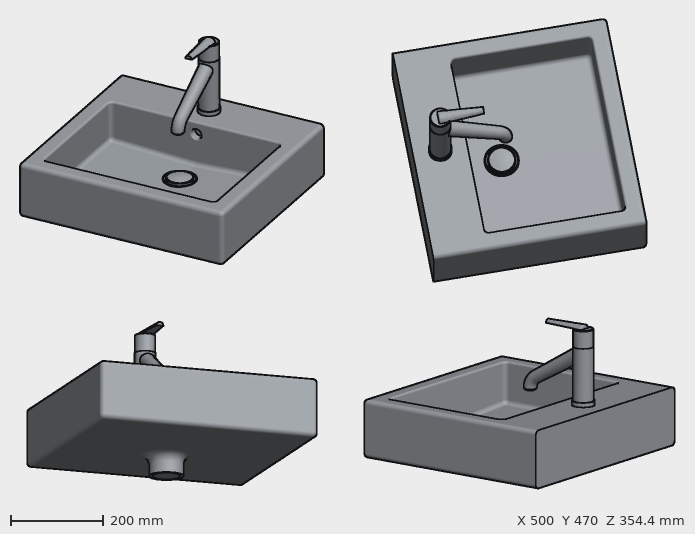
import cadquery as cq
import math


BASIN_WIDTH = 500.0
BASIN_DEPTH = 470.0
BASIN_HEIGHT = 130.0
BASIN_ROUND = 10.0
BACK_LEDGE = 115.0
RIM_WIDTH = 35.0
RIM_ROUND = 5.0
BOWL_ROUND = 10.0
BOWL_SIDE_DEPTH = 95.0
BOWL_CENTRE_DEPTH = 105.0
BOWL_BACK_Y = -BACK_LEDGE - RIM_ROUND
BOWL_FRONT_Y = -BASIN_DEPTH + RIM_WIDTH + RIM_ROUND
BOWL_HALF_WIDTH = BASIN_WIDTH / 2 - RIM_WIDTH - RIM_ROUND

CLEARANCE = 5.0

OVERFLOW_DIAMETER = 25.0
OVERFLOW_ROUND = 2.5
OVERFLOW_LENGTH = 20.0
OVERFLOW_Z = -30.0

DRAIN_Y = -195.0
OUTLET_DIAMETER = 75.0
OUTLET_LENGTH = 45.0
OUTLET_FLARE = 20.0
OUTLET_BOTTOM_Z = -BASIN_HEIGHT - OUTLET_LENGTH

FLANGE_DIAMETER = 75.0
FLANGE_LIP = 2.0
FLANGE_THICKNESS = 7.5
SHANK_DIAMETER = 60.0
FUNNEL_TOP_DIAMETER = 70.0
FUNNEL_DEPTH = 4.0
PLUG_STEM_DIAMETER = 25.0
PLUG_STEM_LENGTH = 25.0
PLUG_DIAMETER = 60.0
PLUG_EDGE_HEIGHT = 6.0
PLUG_CROWN = 4.0
PLUG_CHAMFER = 1.5
FLANGE_TOP_Z = -BOWL_CENTRE_DEPTH + FLANGE_LIP
FUNNEL_BOTTOM_Z = FLANGE_TOP_Z - FUNNEL_DEPTH
PLUG_EDGE_Z = -BOWL_CENTRE_DEPTH + PLUG_EDGE_HEIGHT

TAP_Y = -60.0
BASE_DIAMETER = 50.0
BASE_HEIGHT = 10.0
COLUMN_DIAMETER = 46.0
COLUMN_TOP_Z = 130.0
HEAD_DIAMETER = 45.0
HEAD_TOP_Z = 170.0
HEAD_CHAMFER = 1.5

LEVER_ROOT_Y = -55.0
LEVER_TIP_Y = -155.0
LEVER_TOP_Z = 179.5
LEVER_ROOT_RADIUS = 17.5
LEVER_TIP_RADIUS = 8.0
LEVER_ROOT_ROUND = 4.0

SPOUT_ROOT_Y = -70.0
SPOUT_ROOT_DIAMETER = 35.0
SPOUT_END_DIAMETER = 29.0
SPOUT_SLOPE = 30.0
BEND_START_Y = -187.5
BEND_START_Z = 44.0
BEND_RADIUS = 32.0
NOZZLE_HEIGHT = 4.0
NOZZLE_DIAMETER = 20.0


def cylinder(diameter, y, bottom_z, top_z):
    """An upright cylinder on the middle plane."""
    base = cq.Workplane("XY", origin=(0, y, bottom_z))
    return base.circle(diameter / 2).extrude(top_z - bottom_z)


def make_bowl():
    """The hollow of the bowl, whose floor falls from both sides to a valley in the middle."""
    bowl = (
        cq.Workplane("XZ", origin=(0, BOWL_BACK_Y, 0))
        .moveTo(-BOWL_HALF_WIDTH, 0)
        .lineTo(-BOWL_HALF_WIDTH, -BOWL_SIDE_DEPTH)
        .lineTo(0, -BOWL_CENTRE_DEPTH)
        .lineTo(BOWL_HALF_WIDTH, -BOWL_SIDE_DEPTH)
        .lineTo(BOWL_HALF_WIDTH, 0)
        .close()
        .extrude(BOWL_BACK_Y - BOWL_FRONT_Y)
    )
    bowl = bowl.edges("|Z").fillet(BOWL_ROUND)
    floor_edges = cq.selectors.BoxSelector(
        (-BOWL_HALF_WIDTH - CLEARANCE, BOWL_FRONT_Y - CLEARANCE, -BOWL_CENTRE_DEPTH - CLEARANCE),
        (BOWL_HALF_WIDTH + CLEARANCE, BOWL_BACK_Y + CLEARANCE, -BOWL_SIDE_DEPTH + CLEARANCE),
    )
    valley = cq.selectors.NearestToPointSelector(
        (0, (BOWL_BACK_Y + BOWL_FRONT_Y) / 2, -BOWL_CENTRE_DEPTH)
    )
    return bowl.edges(floor_edges - valley).fillet(BOWL_ROUND)


def make_flare():
    """The concave flare that leads from the underside into the outlet."""
    outlet_radius = OUTLET_DIAMETER / 2
    arc_dip = OUTLET_FLARE * (1 - math.sqrt(0.5))
    return (
        cq.Workplane("XZ", origin=(0, DRAIN_Y, -BASIN_HEIGHT))
        .moveTo(0, 0)
        .lineTo(outlet_radius + OUTLET_FLARE, 0)
        .threePointArc((outlet_radius + arc_dip, -arc_dip), (outlet_radius, -OUTLET_FLARE))
        .lineTo(0, -OUTLET_FLARE)
        .close()
        .revolve(360, (0, 0), (0, 1))
    )


def make_overflow():
    """The round overflow hole running back from the bowl."""
    return (
        cq.Workplane("XZ", origin=(0, BOWL_BACK_Y, OVERFLOW_Z))
        .circle(OVERFLOW_DIAMETER / 2)
        .extrude(-OVERFLOW_LENGTH)
    )


def make_drain_envelope():
    """The outside of the drain insert: a flange sunk into the floor and a shank down the outlet."""
    flange = cylinder(FLANGE_DIAMETER, DRAIN_Y, FLANGE_TOP_Z - FLANGE_THICKNESS, FLANGE_TOP_Z)
    return flange.union(cylinder(SHANK_DIAMETER, DRAIN_Y, OUTLET_BOTTOM_Z, FLANGE_TOP_Z))


def make_basin():
    """The block with its rounded edges, bowl, overflow hole, outlet and drain bore."""
    block = cq.Workplane("XY").box(
        BASIN_WIDTH, BASIN_DEPTH, BASIN_HEIGHT, centered=(True, False, False)
    )
    block = block.translate((0, -BASIN_DEPTH, -BASIN_HEIGHT))
    block = block.edges("not >Y").fillet(BASIN_ROUND)

    outlet = cylinder(OUTLET_DIAMETER, DRAIN_Y, OUTLET_BOTTOM_Z, -BASIN_HEIGHT)
    basin = block.union(outlet.union(make_flare())).cut(make_bowl())

    bowl_rim = cq.selectors.BoxSelector(
        (-BOWL_HALF_WIDTH - CLEARANCE, BOWL_FRONT_Y - CLEARANCE, -CLEARANCE),
        (BOWL_HALF_WIDTH + CLEARANCE, BOWL_BACK_Y + CLEARANCE, CLEARANCE),
    )
    basin = basin.edges(bowl_rim).fillet(RIM_ROUND)
    basin = basin.cut(make_overflow())
    overflow_mouth = cq.selectors.NearestToPointSelector((0, BOWL_BACK_Y, OVERFLOW_Z))
    basin = basin.edges("%CIRCLE").edges(overflow_mouth).fillet(OVERFLOW_ROUND)
    return basin.cut(make_drain_envelope())


def make_drain():
    """The drain insert with a funnel in its flange and a socket for the plug's stem."""
    funnel = (
        cq.Workplane("XY", origin=(0, DRAIN_Y, FLANGE_TOP_Z))
        .circle(FUNNEL_TOP_DIAMETER / 2)
        .workplane(offset=-FUNNEL_DEPTH)
        .circle(PLUG_DIAMETER / 2)
        .loft()
    )
    return make_drain_envelope().cut(funnel).cut(make_plug())


def make_plug():
    """The domed plug and the stem that guides it in the drain."""
    radius = PLUG_DIAMETER / 2
    stem_radius = PLUG_STEM_DIAMETER / 2
    dome_edge = radius - PLUG_CHAMFER
    dome_top_z = PLUG_EDGE_Z + PLUG_CROWN
    sphere_radius = (dome_edge**2 + PLUG_CROWN**2) / (2 * PLUG_CROWN)
    midway = dome_edge / 2
    midway_z = dome_top_z - sphere_radius + math.sqrt(sphere_radius**2 - midway**2)
    return (
        cq.Workplane("XZ", origin=(0, DRAIN_Y, 0))
        .moveTo(0, dome_top_z)
        .threePointArc((midway, midway_z), (dome_edge, PLUG_EDGE_Z))
        .lineTo(radius, PLUG_EDGE_Z - PLUG_CHAMFER)
        .lineTo(radius, FUNNEL_BOTTOM_Z)
        .lineTo(stem_radius, FUNNEL_BOTTOM_Z)
        .lineTo(stem_radius, FUNNEL_BOTTOM_Z - PLUG_STEM_LENGTH)
        .lineTo(0, FUNNEL_BOTTOM_Z - PLUG_STEM_LENGTH)
        .close()
        .revolve(360, (0, 0), (0, 1))
    )


def make_lever():
    """The lever: a cone that tapers and rises to its tip, cut flat level with the top of the head."""
    root_centre_z = LEVER_TOP_Z - LEVER_ROOT_RADIUS
    cone = (
        cq.Workplane("XZ", origin=(0, LEVER_ROOT_Y, root_centre_z))
        .circle(LEVER_ROOT_RADIUS)
        .workplane(offset=LEVER_ROOT_Y - LEVER_TIP_Y)
        .center(0, HEAD_TOP_Z - root_centre_z)
        .circle(LEVER_TIP_RADIUS)
        .loft()
    )
    cone = cone.faces(">Y").edges().fillet(LEVER_ROOT_ROUND)
    head_top = cq.Workplane("XY", origin=(0, 0, HEAD_TOP_Z))
    return cone.copyWorkplane(head_top).split(keepTop=True)


def make_handle():
    """The turning head of the tap with its lever."""
    head = cylinder(HEAD_DIAMETER, TAP_Y, COLUMN_TOP_Z, HEAD_TOP_Z)
    head = head.faces(">Z").edges().chamfer(HEAD_CHAMFER)
    return head.union(make_lever())


def make_spout(column):
    """The spout, its end shaped to sit against the column."""
    slope = math.radians(SPOUT_SLOPE)
    end_radius = SPOUT_END_DIAMETER / 2
    pipe_length = (SPOUT_ROOT_Y - BEND_START_Y) / math.cos(slope)
    pipe_plane = cq.Plane(
        origin=(0, BEND_START_Y, BEND_START_Z),
        xDir=(1, 0, 0),
        normal=(0, math.cos(slope), math.sin(slope)),
    )
    pipe = (
        cq.Workplane(pipe_plane)
        .circle(end_radius)
        .workplane(offset=pipe_length)
        .circle(SPOUT_ROOT_DIAMETER / 2)
        .loft()
    )
    bend = (
        cq.Workplane(pipe_plane)
        .circle(end_radius)
        .revolve(90 - SPOUT_SLOPE, (0, BEND_RADIUS), (1, BEND_RADIUS))
    )
    bend_end_y = BEND_START_Y - BEND_RADIUS * (1 - math.sin(slope))
    bend_end_z = BEND_START_Z - BEND_RADIUS * math.cos(slope)
    nozzle = (
        cq.Workplane("XY", origin=(0, bend_end_y, bend_end_z))
        .circle(end_radius)
        .workplane(offset=-NOZZLE_HEIGHT)
        .circle(NOZZLE_DIAMETER / 2)
        .loft()
    )
    return pipe.union(bend).union(nozzle).cut(column)


basin = make_basin()
drain = make_drain()
plug = make_plug()
base_ring = cylinder(BASE_DIAMETER, TAP_Y, 0, BASE_HEIGHT)
column = cylinder(COLUMN_DIAMETER, TAP_Y, BASE_HEIGHT, COLUMN_TOP_Z)
handle = make_handle()
spout = make_spout(column)

result = cq.Compound.makeCompound(
    [
        basin.val(),
        drain.val(),
        plug.val(),
        base_ring.val(),
        column.val(),
        handle.val(),
        spout.val(),
    ]
)